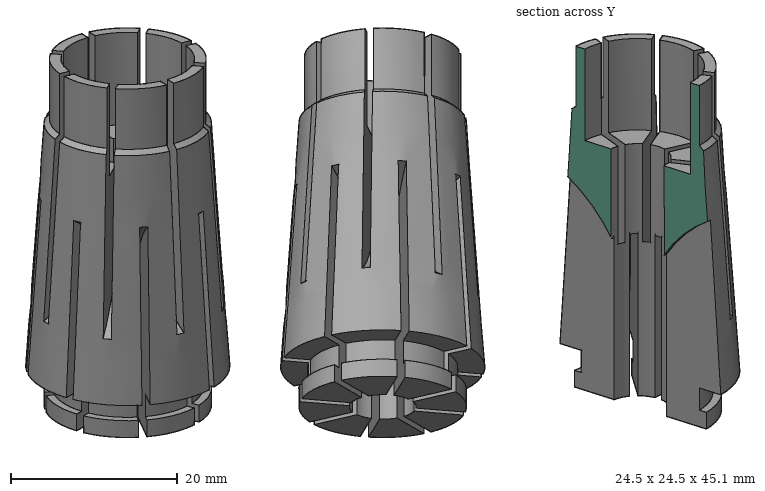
import cadquery as cq
import math

total_height = 45.1
flange_top = 2.2
groove_top = 5.1
chamfer_bottom = 36.7
chamfer_top = 37.25

flange_radius = 10.05
groove_radius = 9.0
cone_base_radius = 12.25
neck_radius = 9.4
cone_half_angle = math.radians(4.0)

clamping_bore_radius = 4.0
relief_bore_radius = 8.0
relief_bore_depth = 12.0

slots_per_end = 8
slot_width = 1.0
blade_radius = 20.0
blade_center_radius = 20.7
lower_blade_center_height = 10.3
upper_blade_center_height = 31.25
slot_overrun = 5.0


def make_body():
    cone_height = chamfer_bottom - groove_top
    cone_top_radius = cone_base_radius - cone_height * math.tan(cone_half_angle)
    relief_floor = total_height - relief_bore_depth
    return (
        cq.Workplane("XZ")
        .moveTo(clamping_bore_radius, 0)
        .lineTo(flange_radius, 0)
        .lineTo(flange_radius, flange_top)
        .lineTo(groove_radius, flange_top)
        .lineTo(groove_radius, groove_top)
        .lineTo(cone_base_radius, groove_top)
        .lineTo(cone_top_radius, chamfer_bottom)
        .lineTo(neck_radius, chamfer_top)
        .lineTo(neck_radius, total_height)
        .lineTo(relief_bore_radius, total_height)
        .lineTo(relief_bore_radius, relief_floor)
        .lineTo(clamping_bore_radius, relief_floor)
        .close()
        .revolve(360, (0, 0, 0), (0, 1, 0))
    )


def make_slot_cutter(blade_center_height, inward):
    """Radial slot along +X, swept by the blade as it travels along Z.

    inward is +1 for a cut made upward from the bottom, -1 for one made downward from the top.
    """
    open_height = -slot_overrun if inward > 0 else total_height + slot_overrun
    blade_inner_radius = blade_center_radius - blade_radius
    half_leg = blade_radius * math.sqrt(0.5)
    arc_middle = (blade_center_radius - half_leg, blade_center_height + inward * half_leg)
    arc_end = (blade_center_radius, blade_center_height + inward * blade_radius)
    return (
        cq.Workplane("XZ")
        .moveTo(blade_inner_radius, open_height)
        .lineTo(blade_inner_radius, blade_center_height)
        .threePointArc(arc_middle, arc_end)
        .lineTo(blade_center_radius, open_height)
        .close()
        .extrude(slot_width / 2, both=True)
    )


def cut_slots(body, cutter, first_angle):
    pitch = 360 / slots_per_end
    for index in range(slots_per_end):
        angle = first_angle + index * pitch
        body = body.cut(cutter.rotate((0, 0, 0), (0, 0, 1), angle))
    return body


lower_cutter = make_slot_cutter(lower_blade_center_height, 1)
upper_cutter = make_slot_cutter(upper_blade_center_height, -1)

result = make_body()
result = cut_slots(result, lower_cutter, 0)
result = cut_slots(result, upper_cutter, 180 / slots_per_end)